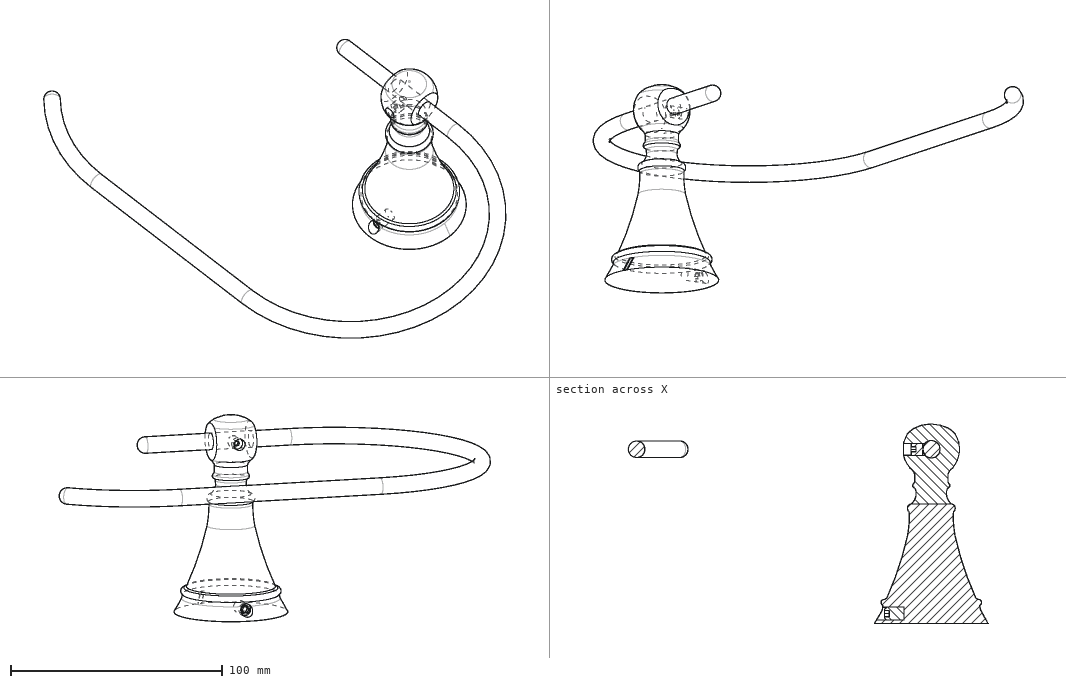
import cadquery as cq
import math

bar_diameter = 8.0
bar_radius = bar_diameter / 2
bar_height = 82.5
bar_spacing = 139.5
bend_radius = bar_spacing / 2
near_bend_x = 29.0
far_bend_x = -70.8
end_bend_angle = 45
bar_tip_x = -46.5

foot_radius = 27.0
foot_top_radius = 23.4
foot_height = 6.5
bell_height = 56.7

notch_x = -7.0
notch_width = 2.0
notch_depth = 0.5

head_diameter = 27.0
head_radius = head_diameter / 2
head_top = 94.5
head_half_width = 10.0
neck_radius = 8.0

base_screw_height = 4.8
base_screw_radius = 3.0
base_screw_face = 22.2
base_screw_length = 9.0
base_screw_socket = 3.2
base_screw_chamfer = 1.0

head_screw_radius = 2.7
head_screw_face = 9.5
head_screw_socket = 2.5

socket_depth = 2.3


def sphere_radius_at(height):
    """Radius of the head's sphere at a given height."""
    return math.sqrt(head_radius**2 - (height - bar_height) ** 2)


def cylinder_along_y(radius, y_start, y_end, height):
    """A cylinder centred on X = 0 that runs along +Y."""
    return (
        cq.Workplane("XZ", origin=(0, y_start, height))
        .circle(radius)
        .extrude(y_start - y_end)
    )


def make_bell():
    """Flared base with a foot ring and a bead around its top edge."""
    profile = (
        cq.Workplane("XZ")
        .moveTo(0, 0)
        .lineTo(foot_radius, 0)
        .lineTo(foot_top_radius, foot_height)
        .lineTo(23.0, 8.6)
        .threePointArc((23.8, 10.2), (22.2, 11.5))
        .lineTo(21.0, 12.2)
        .threePointArc((15.5, 26.8), (11.3, 41.5))
        .threePointArc((10.7, 46.5), (10.5, 51.7))
        .lineTo(10.7, 53.0)
        .threePointArc((11.3, 55.0), (9.8, bell_height))
        .lineTo(0, bell_height)
        .close()
    )
    return profile.revolve(360, (0, 0), (0, 1))


def make_foot_notch():
    """Cutter for the shallow notch, whose floor follows the cone of the foot."""
    floor = (
        cq.Workplane("XZ")
        .lineTo(foot_radius - notch_depth, 0)
        .lineTo(foot_top_radius - notch_depth, foot_height)
        .lineTo(0, foot_height)
        .close()
        .revolve(360, (0, 0), (0, 1))
    )
    block = cq.Workplane("XY", origin=(notch_x, foot_radius / 2, 0)).box(
        notch_width, foot_radius, foot_height, centered=(True, True, False)
    )
    return block.cut(floor)


def make_head():
    """Beaded neck and ball head with two flats."""
    profile = (
        cq.Workplane("XZ")
        .moveTo(0, bell_height)
        .lineTo(9.5, bell_height)
        .threePointArc((8.0, 58.7), (7.3, 61.2))
        .lineTo(7.5, 63.3)
        .threePointArc((8.0, 64.2), (8.6, 64.6))
        .threePointArc((8.8, 65.3), (8.6, 66.0))
        .threePointArc((8.2, 66.7), (neck_radius, 67.4))
        .lineTo(neck_radius, 70.8)
        .threePointArc((8.6, 72.1), (sphere_radius_at(73.7), 73.7))
        .threePointArc((head_radius, bar_height), (sphere_radius_at(89.8), 89.8))
        .threePointArc((10.0, 91.2), (8.2, 92.5))
        .threePointArc((4.0, 94.1), (0, head_top))
        .close()
    )
    ball = profile.revolve(360, (0, 0), (0, 1))
    between_flats = cq.Workplane("XY").box(
        2 * head_half_width, 2 * foot_radius, head_top, centered=(True, True, False)
    )
    return ball.intersect(between_flats)


def make_bar():
    """Round bar with a half-turn bend, an end bend and domed ends."""
    far_side_y = -bar_spacing
    bend_end = math.radians(end_bend_angle)
    half_bend = bend_end / 2
    end_x = far_bend_x - bend_radius * math.sin(bend_end)
    end_y = far_side_y + bend_radius * (1 - math.cos(bend_end))
    mid_x = far_bend_x - bend_radius * math.sin(half_bend)
    mid_y = far_side_y + bend_radius * (1 - math.cos(half_bend))
    start_x = bar_tip_x + bar_radius

    path = (
        cq.Workplane("XY", origin=(0, 0, bar_height))
        .moveTo(start_x, 0)
        .lineTo(near_bend_x, 0)
        .threePointArc((near_bend_x + bend_radius, -bend_radius), (near_bend_x, far_side_y))
        .lineTo(far_bend_x, far_side_y)
        .threePointArc((mid_x, mid_y), (end_x, end_y))
    )
    bar = cq.Workplane("YZ", origin=(start_x, 0, bar_height)).circle(bar_radius).sweep(path)
    for x, y in ((start_x, 0), (end_x, end_y)):
        dome = cq.Workplane("XY", origin=(x, y, bar_height)).sphere(bar_radius)
        bar = bar.union(dome)
    return bar


def make_screw(radius, y_start, y_end, height, socket_size, chamfer=0):
    """Set screw with its hexagon socket facing -Y and an optional chamfer on that end."""
    screw = cylinder_along_y(radius, y_start, y_end, height)
    if chamfer:
        screw = screw.faces("<Y").chamfer(chamfer)
    socket = (
        cq.Workplane("XZ", origin=(0, y_start, height))
        .polygon(6, socket_size)
        .extrude(-socket_depth)
    )
    return screw.cut(socket)


bar = make_bar()

base_hole_end = base_screw_length - base_screw_face
base_hole = cylinder_along_y(base_screw_radius, -foot_radius, base_hole_end, base_screw_height)
bell = make_bell().cut(base_hole).cut(make_foot_notch())
base_screw = make_screw(
    base_screw_radius,
    -base_screw_face,
    base_hole_end,
    base_screw_height,
    base_screw_socket,
    base_screw_chamfer,
)

bar_hole = (
    cq.Workplane("YZ", origin=(-head_radius, 0, bar_height))
    .circle(bar_radius)
    .extrude(2 * head_radius)
)
head_hole = cylinder_along_y(head_screw_radius, -head_radius, 0, bar_height)
head = make_head().cut(bar_hole).cut(head_hole)
head_screw = make_screw(
    head_screw_radius,
    -head_screw_face,
    -bar_radius,
    bar_height,
    head_screw_socket,
)

result = cq.Compound.makeCompound(
    [bell.val(), head.val(), bar.val(), base_screw.val(), head_screw.val()]
)